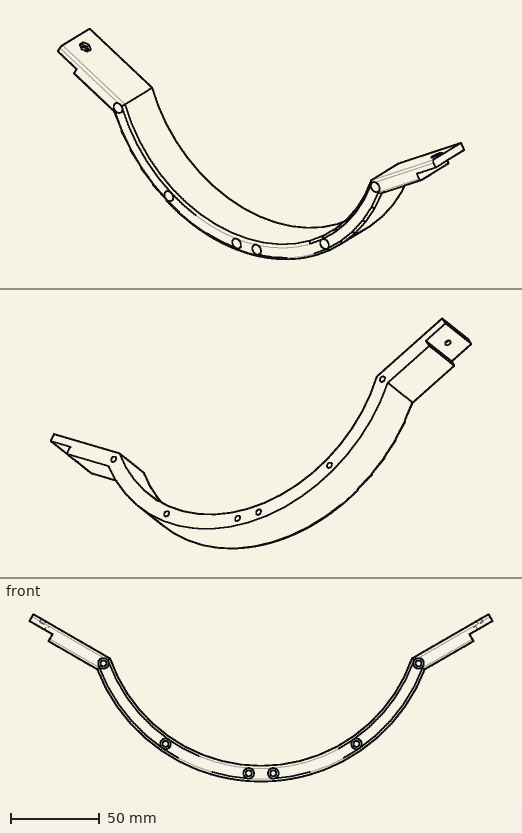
import cadquery as cq
import math

half_span = 130.71
overall_height = 94.56
width = 28.0

thickness = 9.0
arm_angle = 30.0
arm_length = 50.0
tip_thickness = 4.5
tip_length = 15.0

edge_radius = 1.5

hole_diameter = 3.3
counterbore_diameter = 6.0
front_counterbore_depth = width / 2
nut_width = 6.0
nut_depth = 2.0
tip_hole_inset = 8.0
front_hole_angles = (4.2, 34.7, 70.0)

slope = math.radians(arm_angle)
along = (math.cos(slope), math.sin(slope))
inward = (math.sin(slope), -math.cos(slope))

bend_x = half_span - arm_length * along[0] - tip_thickness * inward[0]
bend_z = overall_height - arm_length * along[1]
rise = bend_z - thickness
inner_radius = (bend_x**2 + rise**2) / (2 * rise)
outer_radius = inner_radius + thickness
centre_z = outer_radius
hole_radius = inner_radius + thickness / 2


def arm_point(distance, depth):
    """Point on the right arm: distance from the bend along it, depth below its upper face."""
    x = bend_x + distance * along[0] + depth * inward[0]
    z = bend_z + distance * along[1] + depth * inward[1]
    return x, z


def mirrored(point):
    return -point[0], point[1]


def outer_corner():
    """Point where the underside of the right arm runs into the outer arc."""
    start_x, start_z = arm_point(0, thickness)
    offset_z = start_z - centre_z
    projection = start_x * along[0] + offset_z * along[1]
    excess = start_x**2 + offset_z**2 - outer_radius**2
    distance = -projection + math.sqrt(projection**2 - excess)
    return arm_point(distance, thickness)


def strap():
    bend = arm_point(0, 0)
    tip_top = arm_point(arm_length, 0)
    tip_bottom = arm_point(arm_length, tip_thickness)
    step_top = arm_point(arm_length - tip_length, tip_thickness)
    step_bottom = arm_point(arm_length - tip_length, thickness)
    corner = outer_corner()
    outline = (
        cq.Workplane("XZ")
        .moveTo(*mirrored(bend))
        .threePointArc((0, thickness), bend)
        .lineTo(*tip_top)
        .lineTo(*tip_bottom)
        .lineTo(*step_top)
        .lineTo(*step_bottom)
        .lineTo(*corner)
        .threePointArc((0, 0), mirrored(corner))
        .lineTo(*mirrored(step_bottom))
        .lineTo(*mirrored(step_top))
        .lineTo(*mirrored(tip_bottom))
        .lineTo(*mirrored(tip_top))
        .close()
    )
    return outline.extrude(width / 2, both=True)


def round_long_edges(body):
    """Round the front edges of the upper and lower faces, leaving the tip ends and steps square."""
    tolerance = 0.01

    def is_long_edge(edge):
        middle = edge.positionAt(0.5)
        if edge.geomType() == "CIRCLE":
            return True
        depth = (abs(middle.x) - bend_x) * inward[0] + (middle.z - bend_z) * inward[1]
        return any(abs(depth - level) < tolerance for level in (0, thickness))

    front_edges = body.faces("<Y").edges().vals()
    long_edges = [edge for edge in front_edges if is_long_edge(edge)]
    return body.newObject(long_edges).fillet(edge_radius)


def drill_front_holes(body):
    for angle in front_hole_angles:
        turn = math.radians(angle)
        x = hole_radius * math.sin(turn)
        z = centre_z - hole_radius * math.cos(turn)
        body = (
            cq.Workplane("XZ", origin=(0, -width / 2, 0))
            .add(body)
            .pushPoints([(x, z), (-x, z)])
            .cboreHole(hole_diameter, counterbore_diameter, front_counterbore_depth)
        )
    return body


def drill_tip_holes(body):
    x, z = arm_point(arm_length - tip_hole_inset, 0)
    for side in (-1, 1):
        upper_face = cq.Plane(
            origin=(side * x, 0, z),
            xDir=(side * along[0], 0, along[1]),
            normal=(-side * inward[0], 0, -inward[1]),
        )
        screw_hole = cq.Workplane(upper_face).circle(hole_diameter / 2).extrude(-thickness)
        hexagon = cq.Workplane(upper_face).polygon(6, nut_width, circumscribed=True)
        nut_pocket = hexagon.extrude(-nut_depth)
        body = body.cut(screw_hole).cut(nut_pocket)
    return body


result = drill_tip_holes(drill_front_holes(round_long_edges(strap())))